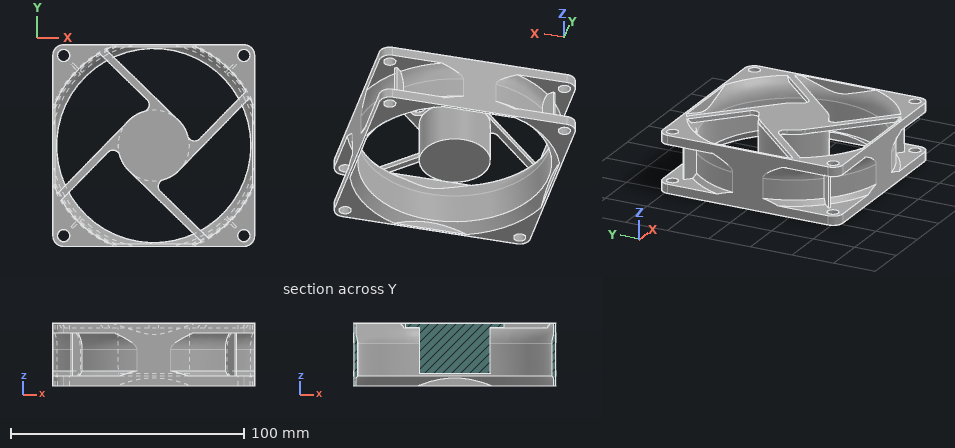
import cadquery as cq
import math

SIDE = 86.6
HEIGHT = 27.0
FLANGE_THICKNESS = 4.3
CORNER_RADIUS = 4.7
HOLE_DIAMETER = 5.1
HOLE_PITCH = SIDE - 2 * CORNER_RADIUS
SIDE_WALL = 1.0

THROAT_RADIUS = 41.6
MOUTH_RADIUS = 46.0
CONE_TOP = 4.3
CONE_SLOPE = 0.84
FLARE_BOTTOM = 18.3
FLARE_RISE = HEIGHT - FLARE_BOTTOM
FLARE_GROWTH = MOUTH_RADIUS - THROAT_RADIUS
FLARE_RADIUS = (FLARE_RISE**2 + FLARE_GROWTH**2) / (2 * FLARE_GROWTH)

DUCT_WALL = 2.3
OUTER_CONE_TOP = 6.5
OUTER_FLARE_BOTTOM = 15.8

WEB_THICKNESS = 1.0
WEB_REACH = 49.6

HUB_RADIUS = 15.2
MOTOR_RADIUS = 15.25
MOTOR_BOTTOM = 5.4
SPOKE_WIDTH = 3.1
SPOKE_THICKNESS = 2.1
SPOKE_ANGLE = 45.7
SPOKE_LENGTH = 45.05
ROOT_FILLET = 3.0


def duct_solid(throat, cone_top, flare_bottom):
    """Solid of revolution with a bottom cone, a cylinder and a flare tangent to it."""

    def flare_point(rise):
        growth = FLARE_RADIUS - math.sqrt(FLARE_RADIUS**2 - rise**2)
        return (throat + growth, flare_bottom + rise)

    return (
        cq.Workplane("XZ")
        .lineTo(throat + CONE_SLOPE * cone_top, 0)
        .lineTo(throat, cone_top)
        .lineTo(throat, flare_bottom)
        .threePointArc(flare_point(FLARE_RISE / 2), flare_point(FLARE_RISE))
        .lineTo(0, HEIGHT)
        .close()
        .revolve(360, (0, 0, 0), (0, 1, 0))
    )


def square_block(side):
    """Full-height square block centred on the duct axis."""
    return cq.Workplane("XY").rect(side, side).extrude(HEIGHT)


def flange(bottom):
    """Rounded square plate with a mounting hole in each corner."""
    return (
        cq.Workplane("XY", origin=(0, 0, bottom))
        .rect(SIDE, SIDE)
        .extrude(FLANGE_THICKNESS)
        .edges("|Z")
        .fillet(CORNER_RADIUS)
        .faces(">Z")
        .workplane()
        .rect(HOLE_PITCH, HOLE_PITCH, forConstruction=True)
        .vertices()
        .hole(HOLE_DIAMETER)
    )


def corner_webs():
    """Two crossed diagonal plates; cutting the duct void leaves only their ends."""
    webs = cq.Workplane("XY")
    for angle in (45, 135):
        plate = (
            cq.Workplane("XY")
            .rect(2 * WEB_REACH, WEB_THICKNESS)
            .extrude(HEIGHT - FLANGE_THICKNESS)
            .rotate((0, 0, 0), (0, 0, 1), angle)
        )
        webs = webs.union(plate)
    return webs


def spoke():
    """Spoke along +X: tangent to the hub on its -Y edge, filleted into it on the other."""
    filleted_edge = SPOKE_WIDTH - HUB_RADIUS
    fillet_y = filleted_edge + ROOT_FILLET
    fillet_x = math.sqrt((HUB_RADIUS + ROOT_FILLET) ** 2 - fillet_y**2)
    touch_angle = math.atan2(fillet_y, fillet_x)
    touch = (HUB_RADIUS * math.cos(touch_angle), HUB_RADIUS * math.sin(touch_angle))
    middle_angle = (math.pi + touch_angle + 1.5 * math.pi) / 2
    middle = (
        fillet_x + ROOT_FILLET * math.cos(middle_angle),
        fillet_y + ROOT_FILLET * math.sin(middle_angle),
    )
    return (
        cq.Workplane("XY", origin=(0, 0, HEIGHT - SPOKE_THICKNESS))
        .lineTo(*touch)
        .threePointArc(middle, (fillet_x, filleted_edge))
        .lineTo(SPOKE_LENGTH, filleted_edge)
        .lineTo(SPOKE_LENGTH, -HUB_RADIUS)
        .lineTo(0, -HUB_RADIUS)
        .close()
        .extrude(SPOKE_THICKNESS)
    )


def spider():
    """Hub plate with its four spokes, standing on the slightly wider motor cylinder."""
    plate_bottom = HEIGHT - SPOKE_THICKNESS
    plate = cq.Workplane("XY", origin=(0, 0, plate_bottom)).circle(HUB_RADIUS).extrude(SPOKE_THICKNESS)
    for index in range(4):
        plate = plate.union(spoke().rotate((0, 0, 0), (0, 0, 1), SPOKE_ANGLE + 90 * index))
    motor = cq.Workplane("XY", origin=(0, 0, MOTOR_BOTTOM)).circle(MOTOR_RADIUS)
    return plate.union(motor.extrude(plate_bottom - MOTOR_BOTTOM))


duct_wall = duct_solid(THROAT_RADIUS + DUCT_WALL, OUTER_CONE_TOP, OUTER_FLARE_BOTTOM)
duct_wall = duct_wall.intersect(square_block(SIDE))
duct_void = duct_solid(THROAT_RADIUS, CONE_TOP, FLARE_BOTTOM)
duct_void = duct_void.intersect(square_block(SIDE - 2 * SIDE_WALL))

frame = flange(0).union(flange(HEIGHT - FLANGE_THICKNESS)).union(corner_webs()).union(duct_wall)
result = frame.cut(duct_void).union(spider())